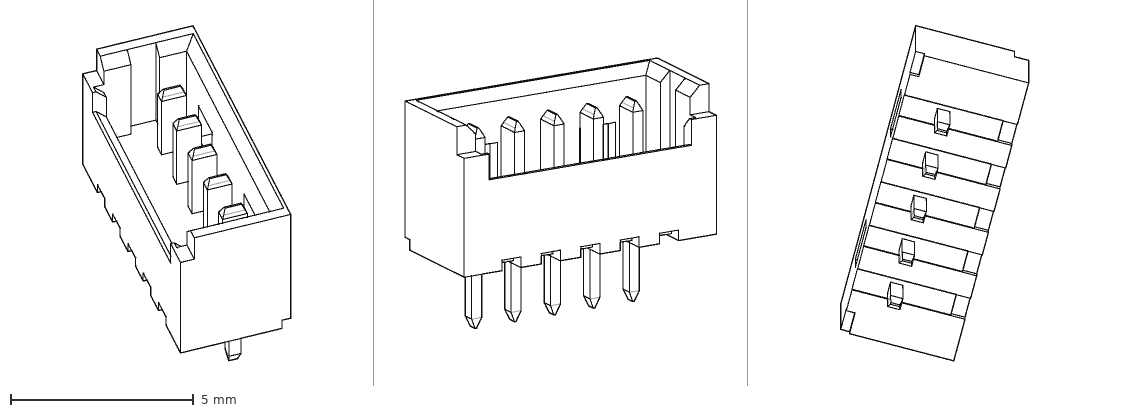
import cadquery as cq


length = 8.0
depth = 3.2
height = 4.2
end_wall = 0.6
long_wall = 0.4
floor_top = 1.3
lead_in = end_wall / 2

front_step = 0.8
notch_drop = 1.54
notch_margin = 0.8

key_width = 0.83
key_depth = lead_in

window_width = 1.14
window_bottom = 1.52
window_top = 2.7

groove_width = 0.6
groove_height = 0.3
groove_back_height = 0.1
groove_front_depth = 0.4
corner_relief_depth = 0.25
corner_relief_length = 0.6
corner_relief_height = groove_height

pin_count = 5
pin_span = 5.0
pin_pitch = pin_span / (pin_count - 1)
pin_y = 0.46
pin_width = 0.32
blade_depth = 0.72
tail_depth = 0.35
pin_top = 3.56
pin_bottom = -2.2
blade_tip_height = 0.26
blade_tip_end_inset = 0.12
blade_tip_knee_inset = 0.05
blade_tip_knee_height = 0.1
tail_tip_height = 0.3
tail_tip_end_inset = 0.05
tip_half_width = 0.02

half_length = length / 2
front = -depth / 2
back = depth / 2
cavity_x = half_length - end_wall
cavity_y = back - long_wall
notch_x = half_length - notch_margin
pin_positions = [(i - (pin_count - 1) / 2) * pin_pitch for i in range(pin_count)]


def block(x_range, y_range, z_range):
    """Axis-aligned box between the given limits."""
    size = [high - low for low, high in (x_range, y_range, z_range)]
    corner = (x_range[0], y_range[0], z_range[0])
    return cq.Workplane("XY").box(*size, centered=False).translate(corner)


def front_wall_lead_in(half_span, wall_top):
    """Wedge that bevels the inner edge of the front wall at the given level."""
    inner = -cavity_y
    return (
        cq.Workplane("YZ", origin=(-half_span, 0, 0))
        .moveTo(inner, wall_top)
        .lineTo(inner - lead_in, wall_top)
        .lineTo(inner, wall_top - lead_in)
        .close()
        .extrude(2 * half_span)
    )


def make_cavity():
    """Open cavity with a bevelled rim and a keyway in each end wall."""
    x_limits = (-cavity_x, cavity_x)
    well = block(x_limits, (-cavity_y, cavity_y), (floor_top, height))
    rim = (
        cq.Workplane("XY", origin=(0, 0, height))
        .rect(2 * (cavity_x + lead_in), 2 * (cavity_y + lead_in))
        .workplane(offset=-lead_in)
        .rect(2 * cavity_x, 2 * cavity_y)
        .loft(ruled=True)
    )
    rim = rim.intersect(block((-half_length, half_length), (-cavity_y, back), (0, height)))
    key_x = cavity_x + key_depth
    keyways = block((-key_x, key_x), (-key_width / 2, key_width / 2), (floor_top, height))
    return well.union(rim).union(keyways)


def make_front_cutaway():
    """Stepped opening in the top of the front wall, with bevelled inner edges."""
    step_level = height - front_step
    notch_level = height - notch_drop
    step = block((-half_length, half_length), (front, -cavity_y), (step_level, height))
    notch = block((-notch_x, notch_x), (front, -cavity_y), (notch_level, step_level))
    return (
        step.union(notch)
        .union(front_wall_lead_in(cavity_x, step_level))
        .union(front_wall_lead_in(notch_x, notch_level))
    )


def make_window(x_center):
    """Opening through the back wall."""
    x_range = (x_center - window_width / 2, x_center + window_width / 2)
    return block(x_range, (cavity_y, back), (window_bottom, window_top))


def make_groove(x_center):
    """Underside groove below one pin: tall at the front, shallow through to the back."""
    x_range = (x_center - groove_width / 2, x_center + groove_width / 2)
    tall = block(x_range, (front, front + groove_front_depth), (0, groove_height))
    shallow = block(x_range, (front, back), (0, groove_back_height))
    return tall.union(shallow)


def make_housing():
    """Housing with the cavity, front cutaway, windows and underside reliefs removed."""
    body = block((-half_length, half_length), (front, back), (0, height))
    body = body.cut(make_cavity()).cut(make_front_cutaway())
    window_x = (pin_positions[-1] + pin_positions[-2]) / 2
    for x in (-window_x, window_x):
        body = body.cut(make_window(x))
    for x in pin_positions:
        body = body.cut(make_groove(x))
    relief_y = (back - corner_relief_depth, back)
    relief_x = half_length - corner_relief_length
    for x_range in ((-half_length, -relief_x), (relief_x, half_length)):
        body = body.cut(block(x_range, relief_y, (0, corner_relief_height)))
    return body


def symmetric_prism(plane, half_outline, half_thickness):
    """Prism centred on the plane, from one half of an outline mirrored about the Z axis."""
    mirrored = [(-across, z) for across, z in reversed(half_outline)]
    outline = cq.Workplane(plane).polyline(half_outline + mirrored).close()
    return outline.extrude(half_thickness, both=True)


def make_pin(x_center):
    """Pin with a deep blade above the floor, a slim tail below and tapered tips."""
    half_width = pin_width / 2
    half_blade = blade_depth / 2
    half_tail = tail_depth / 2
    blade_shoulder = pin_top - blade_tip_height
    tail_shoulder = pin_bottom + tail_tip_height
    right_side = [
        (tip_half_width, pin_bottom),
        (half_width, tail_shoulder),
        (half_width, blade_shoulder),
        (half_width - blade_tip_knee_inset, blade_shoulder + blade_tip_knee_height),
        (tip_half_width, pin_top),
    ]
    back_side = [
        (half_tail - tail_tip_end_inset, pin_bottom),
        (half_tail, tail_shoulder),
        (half_tail, floor_top),
        (half_blade, floor_top),
        (half_blade, blade_shoulder),
        (half_blade - blade_tip_end_inset, pin_top),
    ]

    front_profile = symmetric_prism("XZ", right_side, blade_depth)
    side_profile = symmetric_prism("YZ", back_side, pin_width)
    return front_profile.intersect(side_profile).translate((x_center, pin_y, 0))


result = make_housing()
for pin_x in pin_positions:
    result = result.union(make_pin(pin_x))